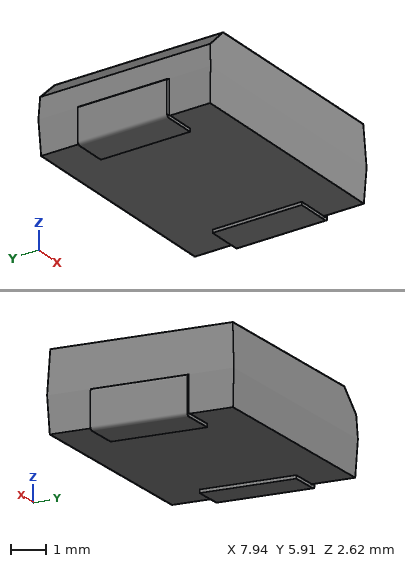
import cadquery as cq
import math

total_length = 7.94
body_width = 5.91
total_height = 2.62

lead_thickness = 0.1
lead_width = 3.06
lead_height = 1.24
left_foot_length = 1.14
right_foot_length = 1.26
bend_radius = lead_thickness

body_length = total_length - 2 * lead_thickness
seam_height = 1.25
draft_angle = 2.8
draft_slope = math.tan(math.radians(draft_angle))
chamfer_run = 0.65
chamfer_drop = 0.66


def make_tapered_half(height):
    """Tapered block that starts at the seam; a negative height extends downward."""
    inset = abs(height) * draft_slope
    return (
        cq.Workplane("XY", origin=(0, 0, seam_height))
        .rect(body_length, body_width)
        .workplane(offset=height)
        .rect(body_length - 2 * inset, body_width - 2 * inset)
        .loft(ruled=True, combine=True)
    )


def make_chamfer_cutter():
    """Wedge that bevels the top edge at the -X end, across the full width."""
    top_edge_x = -body_length / 2 + (total_height - seam_height) * draft_slope
    bevel_end_x = top_edge_x + chamfer_run
    bevel_start_z = total_height - chamfer_drop
    bevel_start_x = top_edge_x - chamfer_drop * draft_slope
    return (
        cq.Workplane("XZ")
        .moveTo(bevel_start_x, bevel_start_z)
        .lineTo(bevel_end_x, total_height)
        .lineTo(bevel_start_x, total_height)
        .close()
        .extrude(body_width / 2, both=True)
    )


def make_body():
    """One moulded body resting on the feet of the leads."""
    upper = make_tapered_half(total_height - seam_height)
    lower = make_tapered_half(lead_thickness - seam_height)
    return upper.union(lower).cut(make_chamfer_cutter())


def make_lead(side, foot_length):
    """L-shaped lead that rises to just below the seam of the body and has its foot under the body.

    side is -1 for the -X end and +1 for the +X end.
    """
    outer_x = side * total_length / 2
    inner_x = side * body_length / 2
    bend_center_x = outer_x - side * bend_radius
    arc_mid_offset = bend_radius * math.sqrt(0.5)
    arc_mid_x = bend_center_x + side * arc_mid_offset
    top_center_z = lead_height - bend_radius
    foot_end_x = outer_x - side * foot_length
    return (
        cq.Workplane("XZ")
        .moveTo(outer_x, bend_radius)
        .lineTo(outer_x, top_center_z)
        .threePointArc((arc_mid_x, top_center_z + arc_mid_offset), (bend_center_x, lead_height))
        .lineTo(inner_x, lead_thickness)
        .lineTo(foot_end_x, lead_thickness)
        .lineTo(foot_end_x, 0)
        .lineTo(bend_center_x, 0)
        .threePointArc((arc_mid_x, bend_radius - arc_mid_offset), (outer_x, bend_radius))
        .close()
        .extrude(lead_width / 2, both=True)
    )


body = make_body()
leads = [
    make_lead(-1, left_foot_length),
    make_lead(1, right_foot_length),
]

result = cq.Compound.makeCompound([body.val(), *[lead.val() for lead in leads]])